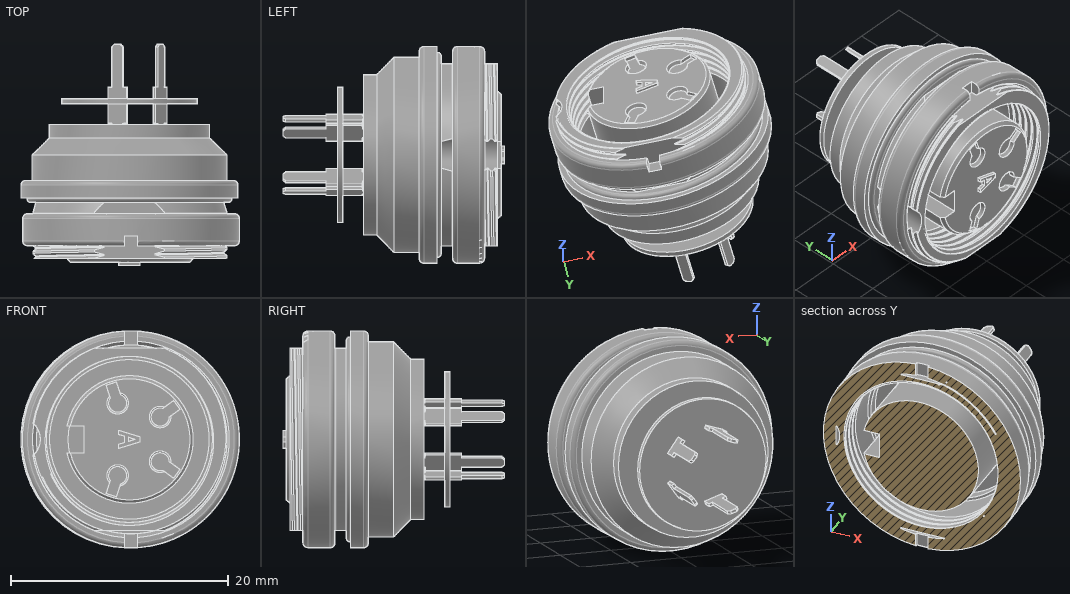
import cadquery as cq
import math


crest_radius = 9.0
thread_depth = 0.28
root_radius = crest_radius - thread_depth
thread_pitch = 0.75
thread_end = 2.0
thread_start = -thread_pitch
thread_start_angle = 90.0
groove_floor_width = thread_pitch / 8
groove_mouth_width = 0.98 * thread_pitch
groove_clearance = 0.1
relief_start = 4.25
flats_height = 16.8
groove_radius = 1.95
groove_axis_x = -10.15

seal_front = 5.18
seal_radius = 9.45
seal_fillet = 0.35
flange_front = 5.57
flange_back = 7.22
flange_radius = 10.0
flange_fillet = 0.45

housing_radius = 9.0
housing_end = 9.55
cone_end = 11.12
collar_radius = 7.4
back_face = 12.36

bore_radius = 7.65
bore_depth = 7.0
bore_groove_depth = 0.28
bore_thread_end = 4.0
ledge_radius = 7.35
floor_depth = 8.0

insert_radius = 5.88
insert_front = -0.35
insert_chamfer_width = 0.3
keyway_width = 2.5
keyway_bottom_x = -4.18
keyway_step_radius = 5.65
keyway_step_height = 0.3

contact_circle = 3.5
contact_spacing = 72.0
contact_angles = [contact_spacing * step for step in (-1.5, -0.5, 0.5, 1.5)]
socket_radius = 0.99
socket_floor_radius = 0.83
socket_depth = 0.38
socket_slot_width = 1.0
socket_slot_end = 5.4

pin_thickness = 0.3
blade_width = 1.05
shoulder_width = 1.8
shoulder_front = back_face + 0.1
shoulder_back = 15.8
pin_tip = 19.76
pin_tip_chamfer = 0.25
pin_embed = 0.5
disc_radius = 6.25
disc_front = 14.25
disc_thickness = 0.5

nut_offset_x = 0.14
nut_front = 1.18
nut_back = 4.15
nut_radius = 10.0
nut_bore_radius = 8.7
nut_bore_chamfer = 0.36
nut_fillet = 0.47
notch_width = 1.22
notch_depth = 0.93

mark_height = 0.29
mark_half_length = 1.0
mark_foot_outer = 0.83
mark_foot_inner = 0.45
mark_tip_half_width = 0.23
mark_bar_x = -0.45
mark_bar_half_width = 0.3
mark_window_start = -0.1
mark_window_half_width = 0.2
mark_window_tip = 0.5


def revolve(outline):
    """Solid of revolution about the Y axis from (radius, y) points."""
    return cq.Workplane("XY").polyline(outline).close().revolve(360, (0, 0), (0, 1))


def cylinder(radius, start, end):
    """Cylinder on the Y axis between two Y positions."""
    return plane_at(start).circle(radius).extrude(start - end)


def plane_at(y):
    """Sketch plane across the axis: local x is X, local y is Z."""
    return cq.Workplane("XZ", origin=(0, y, 0))


def place_contact(shape, angle):
    """Turn a shape built on the +X side to a contact's angle above X."""
    return shape.rotate((0, 0, 0), (0, 1, 0), -angle)


def helical_groove(surface_radius, floor_radius, end):
    """Cutter for a tapered thread groove wound about the Y axis from a surface to its floor."""
    helix = cq.Wire.makeHelix(thread_pitch, end - thread_start, surface_radius)
    half_mouth = groove_mouth_width / 2
    half_floor = groove_floor_width / 2
    mouth_radius = surface_radius + math.copysign(groove_clearance, surface_radius - floor_radius)
    profile = [
        (mouth_radius, -half_mouth),
        (floor_radius, -half_floor),
        (floor_radius, half_floor),
        (mouth_radius, half_mouth),
    ]
    groove = cq.Workplane("XZ").polyline(profile).close().sweep(helix, isFrenet=True)
    groove = groove.rotate((0, 0, 0), (0, 0, 1), thread_start_angle)
    return groove.rotate((0, 0, 0), (1, 0, 0), -90).translate((0, thread_start, 0))


def make_shell():
    shell = revolve([
        (0, 0),
        (crest_radius, 0),
        (crest_radius, relief_start),
        (root_radius, seal_front),
        (root_radius, flange_front),
        (housing_radius, flange_front),
        (housing_radius, housing_end),
        (collar_radius, cone_end),
        (collar_radius, back_face),
        (0, back_face),
    ])
    shell = shell.cut(helical_groove(crest_radius, root_radius, thread_end))

    flats = plane_at(0).rect(4 * crest_radius, flats_height).extrude(-seal_front)
    front_part = cylinder(flange_radius, 0, seal_front).cut(flats)
    groove = plane_at(0).center(groove_axis_x, 0).circle(groove_radius).extrude(-seal_front)
    shell = shell.cut(front_part).cut(groove)

    seal = cylinder(seal_radius, seal_front, flange_front).faces("<Y").edges().fillet(seal_fillet)
    flange = cylinder(flange_radius, flange_front, flange_back)
    flange = flange.faces(">Y").edges().fillet(flange_fillet)
    return shell.union(seal).union(flange)


def cut_bore(body):
    bore = cylinder(bore_radius, 0, bore_depth)
    ledge = cylinder(ledge_radius, bore_depth, floor_depth)
    thread = helical_groove(bore_radius, bore_radius + bore_groove_depth, bore_thread_end)
    return body.cut(bore).cut(ledge).cut(thread)


def make_socket():
    cone = revolve([
        (0, insert_front),
        (socket_radius, insert_front),
        (socket_floor_radius, insert_front + socket_depth),
        (0, insert_front + socket_depth),
    ]).translate((contact_circle, 0, 0))
    slot_length = socket_slot_end - contact_circle
    slot_center = contact_circle + slot_length / 2
    slot = plane_at(insert_front).center(slot_center, 0)
    slot = slot.rect(slot_length, socket_slot_width).extrude(-socket_depth)
    return cone.union(slot)


def make_insert():
    insert = revolve([
        (0, insert_front),
        (insert_radius - insert_chamfer_width, insert_front),
        (insert_radius, 0),
        (insert_radius, floor_depth),
        (0, floor_depth),
    ])
    keyway_length = insert_radius + keyway_bottom_x
    keyway = plane_at(insert_front).center(keyway_bottom_x - keyway_length / 2, 0)
    keyway = keyway.rect(keyway_length, keyway_width).extrude(insert_front - floor_depth)
    step = cylinder(keyway_step_radius, floor_depth - keyway_step_height, floor_depth)
    insert = insert.cut(keyway).union(step)
    socket = make_socket()
    for angle in contact_angles:
        insert = insert.cut(place_contact(socket, angle))
    return insert


def make_mark():
    outline = [
        (-mark_half_length, mark_foot_outer),
        (mark_half_length, mark_tip_half_width),
        (mark_half_length, -mark_tip_half_width),
        (-mark_half_length, -mark_foot_outer),
        (-mark_half_length, -mark_foot_inner),
        (mark_bar_x, -mark_bar_half_width),
        (mark_bar_x, mark_bar_half_width),
        (-mark_half_length, mark_foot_inner),
    ]
    window = [
        (mark_window_start, mark_window_half_width),
        (mark_window_tip, 0),
        (mark_window_start, -mark_window_half_width),
    ]
    face = plane_at(insert_front)
    return face.polyline(outline).close().polyline(window).close().extrude(mark_height)


def make_pin():
    blade_start = back_face - pin_embed
    blade = plane_at(blade_start).rect(pin_thickness, blade_width).extrude(blade_start - pin_tip)
    blade = blade.faces(">Y").edges("|X").chamfer(pin_tip_chamfer)
    shoulder = plane_at(shoulder_front).rect(pin_thickness, shoulder_width)
    shoulder = shoulder.extrude(shoulder_front - shoulder_back)
    return blade.union(shoulder).translate((contact_circle, 0, 0))


def make_nut():
    nut = cylinder(nut_radius, nut_front, nut_back).edges().fillet(nut_fillet)
    nut = nut.cut(cylinder(nut_bore_radius, nut_front, nut_back))
    nut = nut.cut(revolve([
        (0, nut_front),
        (nut_bore_radius + nut_bore_chamfer, nut_front),
        (nut_bore_radius, nut_front + nut_bore_chamfer),
        (0, nut_front + nut_bore_chamfer),
    ]))
    notches = plane_at(nut_front).rect(notch_width, 3 * nut_radius).extrude(-notch_depth)
    return nut.cut(notches).translate((nut_offset_x, 0, 0))


result = cut_bore(make_shell().union(make_nut()))
result = result.union(make_insert()).union(make_mark())
result = result.union(cylinder(disc_radius, disc_front, disc_front + disc_thickness))
pin = make_pin()
for contact_angle in contact_angles:
    result = result.union(place_contact(pin, contact_angle))